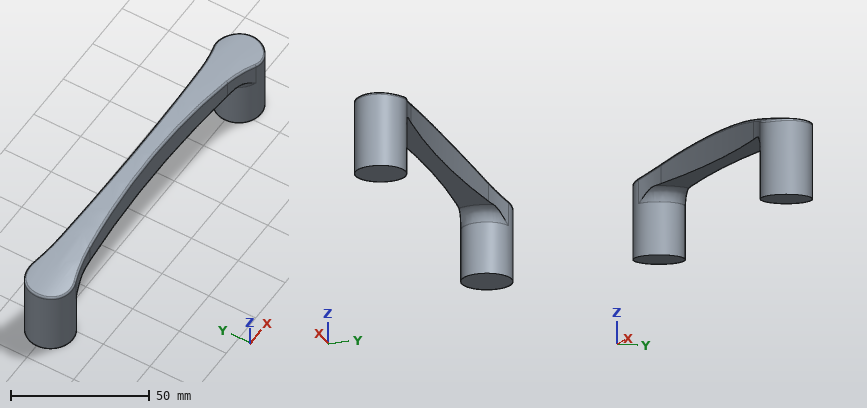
import cadquery as cq
import math

length = 147.0
height = 35.5
leg_diameter = 19.0
waist_width = 7.2
waist_radius = 452.8
waist_end_x = 46.7
end_height = 28.0
underside_height = 24.5
underside_fillet = 5.0
edge_fillet = 0.9

leg_radius = leg_diameter / 2
leg_x = length / 2 - leg_radius
flare_start = underside_height - underside_fillet
rim_selector = cq.selectors.BoxSelector(
    (-length, -length, underside_height),
    (length, length, height),
)


def shoulder_points():
    """Return the leg tangency, arc midpoint and waist tangency at the +X, +Y shoulder."""
    tilt = math.asin(waist_end_x / waist_radius)
    waist_end_y = waist_width / 2 + waist_radius * (1 - math.cos(tilt))
    normal_x = -math.sin(tilt)
    normal_y = math.cos(tilt)

    offset_x = waist_end_x - leg_x
    offset_along_normal = normal_x * offset_x + normal_y * waist_end_y
    shoulder_radius = (offset_x**2 + waist_end_y**2 - leg_radius**2) / (
        2 * (leg_radius - offset_along_normal)
    )
    center_x = waist_end_x + shoulder_radius * normal_x
    center_y = waist_end_y + shoulder_radius * normal_y

    leg_angle = math.atan2(-center_y, leg_x - center_x)
    waist_angle = math.atan2(-normal_y, -normal_x)
    return [
        (center_x + shoulder_radius * math.cos(angle), center_y + shoulder_radius * math.sin(angle))
        for angle in (leg_angle, (leg_angle + waist_angle) / 2, waist_angle)
    ]


def make_outline_prism():
    """Extrude the dog-bone plan outline from the foot of the flares past the crown."""
    (leg_px, leg_py), (mid_x, mid_y), (waist_px, waist_py) = shoulder_points()
    half_waist = waist_width / 2
    return (
        cq.Workplane("XY")
        .workplane(offset=flare_start)
        .moveTo(leg_px, leg_py)
        .threePointArc((mid_x, mid_y), (waist_px, waist_py))
        .threePointArc((0, half_waist), (-waist_px, waist_py))
        .threePointArc((-mid_x, mid_y), (-leg_px, leg_py))
        .threePointArc((-length / 2, 0), (-leg_px, -leg_py))
        .threePointArc((-mid_x, -mid_y), (-waist_px, -waist_py))
        .threePointArc((0, -half_waist), (waist_px, -waist_py))
        .threePointArc((mid_x, -mid_y), (leg_px, -leg_py))
        .threePointArc((length / 2, 0), (leg_px, leg_py))
        .close()
        .extrude(height)
    )


def make_crown_envelope():
    """Barrel about the X axis, so the top is arched along X and domed across Y."""
    return (
        cq.Workplane("XZ")
        .moveTo(-length / 2, 0)
        .lineTo(length / 2, 0)
        .lineTo(length / 2, end_height)
        .threePointArc((0, height), (-length / 2, end_height))
        .close()
        .revolve(360, (0, 0, 0), (1, 0, 0))
    )


def make_flared_foot(x):
    """Round section that flares out from the leg to meet the grip underside."""
    flare_radius = leg_radius + underside_fillet
    diagonal = underside_fillet * math.sqrt(0.5)
    return (
        cq.Workplane("XZ", origin=(x, 0, 0))
        .moveTo(0, flare_start)
        .lineTo(leg_radius, flare_start)
        .threePointArc(
            (flare_radius - diagonal, flare_start + diagonal),
            (flare_radius, underside_height),
        )
        .lineTo(0, underside_height)
        .close()
        .revolve(360, (0, 0, 0), (0, 1, 0))
    )


grip = make_outline_prism().intersect(make_crown_envelope())
grip = grip.edges(rim_selector).edges("not |Z").fillet(edge_fillet)

hand_space = cq.Workplane("XY").workplane(offset=flare_start).rect(length, 2 * leg_diameter)
hand_space = hand_space.extrude(underside_height - flare_start)
for leg_position in (-leg_x, leg_x):
    hand_space = hand_space.cut(make_flared_foot(leg_position))
grip = grip.cut(hand_space)

legs = (
    cq.Workplane("XY")
    .pushPoints([(-leg_x, 0), (leg_x, 0)])
    .circle(leg_radius)
    .extrude(flare_start)
)
result = grip.union(legs)